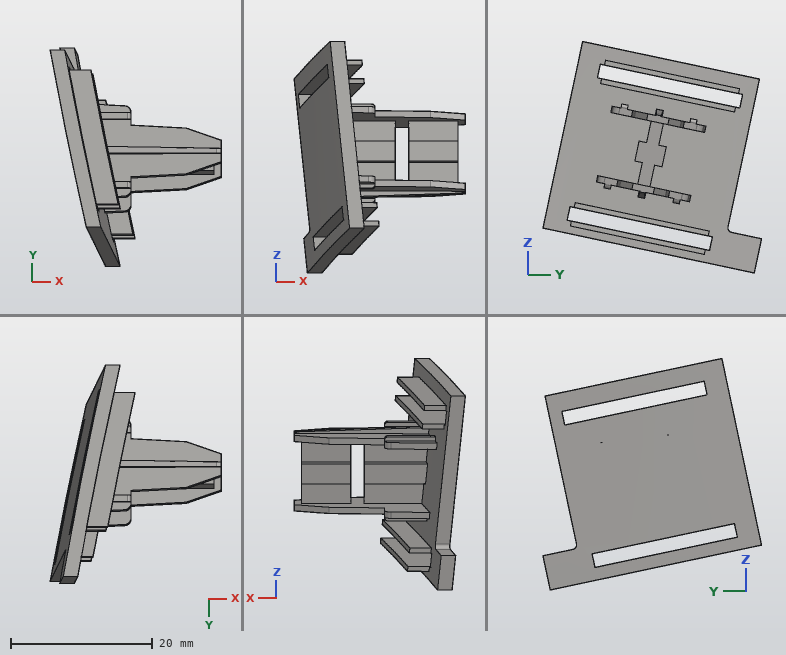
import cadquery as cq

ROLL_ANGLE = -12.0

PLATE_SLOPE_Y = -0.2
PLATE_SLOPE_Z = -0.102
PLATE_BULGE = 0.13
BULGE_HALF_SPAN = 12.8
PLATE_DEPTH = 2.07
PLATE_Y_MIN = -12.68
PLATE_Y_MAX = 12.97
PLATE_HALF_HEIGHT = 13.53
TAB_SIZE = 5.0
TAB_FILLET = 0.62

SLOT_Y_MIN = -9.52
SLOT_Y_MAX = 11.07
SLOT_HEIGHT = 1.95
SLOT_BOTTOMS = (8.93, -11.7)
FIN_INSET = 0.6
FIN_THICKNESS = 0.72
FIN_DEPTH = 3.05

PLUG_CENTER_Y = 0.05
PLUG_CENTER_Z = -0.05
PLUG_HALF_HEIGHT = 5.5
FLANGE_THICKNESS = 0.92
SHOULDER_X = 7.52
TAPER_X = 15.35
TIP_X = 20.33
SHOULDER_ROOT_HALF_WIDTH = 6.85
SHOULDER_HALF_WIDTH = 6.5
SHOULDER_RADIUS = 0.95
FLANGE_HALF_WIDTH = 3.75
TAPER_HALF_WIDTH = 3.32
TIP_HALF_WIDTH = 1.55

WEB_END_X = 19.28
WEB_HALF_THICKNESS = 0.9
BAND_HALF_THICKNESS = 1.97
BAND_HALF_HEIGHT = 1.45
WINDOW_X_MIN = 10.38
WINDOW_X_MAX = 12.28

RAIL_CENTER_Y = 5.0
RAIL_WIDTH = 0.92
RAIL_HEIGHT = 0.6
RAIL_END_RADIUS = 0.5
RIDGE_ROOT_HEIGHT = 0.95
RIDGE_NOSE_HEIGHT = 0.25
RIDGE_TIP_HEIGHT = 0.1
RIDGE_NOSE_LENGTH = 0.7
RIDGE_ROOT_WIDTH = 1.02
RIDGE_TIP_WIDTH = 0.7

REACH = 65.68
SHEET_HALF_SPAN = 19.7


def sheet_point(front_x, y):
    """Point at height zero on a surface parallel to the plate front and front_x behind it along X."""
    return (front_x + PLATE_SLOPE_Y * y + PLATE_BULGE * ((y / BULGE_HALF_SPAN) ** 2 - 1), y)


def leaning_sheet(front_x, depth):
    """Bent leaning sheet parallel to the plate, from front_x to front_x + depth along the X axis."""
    start, middle, end = [sheet_point(front_x, y) for y in (-SHEET_HALF_SPAN, 0, SHEET_HALF_SPAN)]
    back_start, back_middle, back_end = [(x + depth, y) for x, y in (start, middle, end)]
    section = (
        cq.Workplane("XY")
        .moveTo(*start)
        .threePointArc(middle, end)
        .lineTo(*back_end)
        .threePointArc(back_middle, back_start)
        .close()
    )
    bottom = section.val().translate(cq.Vector(-PLATE_SLOPE_Z * SHEET_HALF_SPAN, 0, -SHEET_HALF_SPAN))
    lean = cq.Vector(2 * PLATE_SLOPE_Z * SHEET_HALF_SPAN, 0, 2 * SHEET_HALF_SPAN)
    return cq.Workplane(obj=cq.Solid.extrudeLinear(bottom, [], lean))


def bar_along_x(y_min, y_max, z_min, z_max):
    """Long rectangular bar along X, to be trimmed by a leaning sheet."""
    return cq.Workplane("XY").box(REACH, y_max - y_min, z_max - z_min).translate(
        (0, (y_min + y_max) / 2, (z_min + z_max) / 2)
    )


def box_between(x_min, x_max, half_y, half_z):
    """Box centred on the X axis between two X positions."""
    length = x_max - x_min
    return cq.Workplane("XY").box(length, 2 * half_y, 2 * half_z).translate((x_min + length / 2, 0, 0))


def make_plate():
    tab_y = PLATE_Y_MAX + TAB_SIZE
    tab_top = TAB_SIZE - PLATE_HALF_HEIGHT
    main = bar_along_x(PLATE_Y_MIN, PLATE_Y_MAX, -PLATE_HALF_HEIGHT, PLATE_HALF_HEIGHT)
    tab = bar_along_x(PLATE_Y_MIN, tab_y, -PLATE_HALF_HEIGHT, tab_top)
    outline = main.union(tab)
    tab_corner = cq.selectors.NearestToPointSelector((0, PLATE_Y_MAX, tab_top))
    plate = outline.edges("|X").edges(tab_corner).fillet(TAB_FILLET).intersect(leaning_sheet(0, PLATE_DEPTH))

    fin_zone = leaning_sheet(PLATE_DEPTH, FIN_DEPTH)
    fin_y_min = SLOT_Y_MIN + FIN_INSET
    fin_y_max = SLOT_Y_MAX - FIN_INSET
    for slot_bottom in SLOT_BOTTOMS:
        slot_top = slot_bottom + SLOT_HEIGHT
        plate = plate.cut(bar_along_x(SLOT_Y_MIN, SLOT_Y_MAX, slot_bottom, slot_top))
        for fin_bottom in (slot_bottom - FIN_THICKNESS, slot_top):
            fin = bar_along_x(fin_y_min, fin_y_max, fin_bottom, fin_bottom + FIN_THICKNESS)
            plate = plate.union(fin.intersect(fin_zone))
    return plate


def make_flange():
    """Upper flange: wide shoulders by the plate, then a blade narrowing to the tip."""
    flange = (
        cq.Workplane("XY", origin=(0, 0, PLUG_HALF_HEIGHT - FLANGE_THICKNESS))
        .polyline([
            (0, -SHOULDER_ROOT_HALF_WIDTH),
            (SHOULDER_X, -SHOULDER_HALF_WIDTH),
            (SHOULDER_X, -FLANGE_HALF_WIDTH),
            (TAPER_X, -TAPER_HALF_WIDTH),
            (TIP_X, -TIP_HALF_WIDTH),
            (TIP_X, TIP_HALF_WIDTH),
            (TAPER_X, TAPER_HALF_WIDTH),
            (SHOULDER_X, FLANGE_HALF_WIDTH),
            (SHOULDER_X, SHOULDER_HALF_WIDTH),
            (0, SHOULDER_ROOT_HALF_WIDTH),
        ])
        .close()
        .extrude(FLANGE_THICKNESS)
    )
    for side in (-1, 1):
        corner_y = side * SHOULDER_HALF_WIDTH
        corner = cq.selectors.NearestToPointSelector((SHOULDER_X, corner_y, PLUG_HALF_HEIGHT))
        flange = flange.edges("|Z").edges(corner).fillet(SHOULDER_RADIUS)
    return flange


def make_rail(center_y):
    """Rail on top of the upper flange, rounded at its outer end."""
    return (
        cq.Workplane("XY")
        .box(SHOULDER_X, RAIL_WIDTH, RAIL_HEIGHT, centered=(False, True, False))
        .edges(">X and >Z")
        .fillet(RAIL_END_RADIUS)
        .translate((0, center_y, PLUG_HALF_HEIGHT))
    )


def make_ridge():
    """Ridge along the middle of the upper flange, lower and narrower toward a sloping nose at the tip."""
    side_profile = (
        cq.Workplane("XZ")
        .polyline([
            (0, 0),
            (TIP_X, 0),
            (TIP_X, RIDGE_TIP_HEIGHT),
            (TIP_X - RIDGE_NOSE_LENGTH, RIDGE_NOSE_HEIGHT),
            (0, RIDGE_ROOT_HEIGHT),
        ])
        .close()
        .extrude(RIDGE_ROOT_WIDTH / 2, both=True)
    )
    plan = (
        cq.Workplane("XY")
        .polyline([
            (0, -RIDGE_ROOT_WIDTH / 2),
            (TIP_X, -RIDGE_TIP_WIDTH / 2),
            (TIP_X, RIDGE_TIP_WIDTH / 2),
            (0, RIDGE_ROOT_WIDTH / 2),
        ])
        .close()
        .extrude(RIDGE_ROOT_HEIGHT)
    )
    return side_profile.intersect(plan).translate((0, 0, PLUG_HALF_HEIGHT))


def make_web():
    web = box_between(0, WEB_END_X, WEB_HALF_THICKNESS, PLUG_HALF_HEIGHT - FLANGE_THICKNESS)
    band = box_between(0, WEB_END_X, BAND_HALF_THICKNESS, BAND_HALF_HEIGHT)
    window = box_between(
        WINDOW_X_MIN, WINDOW_X_MAX, BAND_HALF_THICKNESS, PLUG_HALF_HEIGHT - FLANGE_THICKNESS
    )
    return web.union(band).cut(window)


def make_plug():
    upper = make_flange().union(make_ridge())
    for side in (-1, 1):
        upper = upper.union(make_rail(side * RAIL_CENTER_Y))
    plug = make_web().union(upper).union(upper.mirror("XY"))
    plug = plug.translate((0, PLUG_CENTER_Y, PLUG_CENTER_Z))
    return plug.intersect(leaning_sheet(PLATE_DEPTH, REACH))


def rolled(body):
    return body.rotate((0, 0, 0), (1, 0, 0), ROLL_ANGLE)


plate = rolled(make_plate())
plug = rolled(make_plug())

result = cq.Compound.makeCompound([plate.val(), plug.val()])